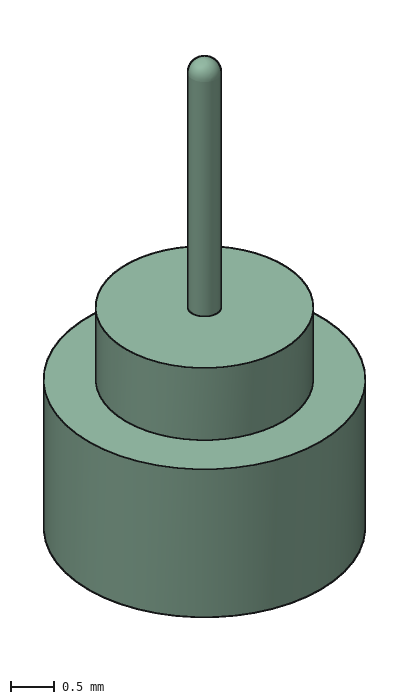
import cadquery as cq

total_height = 6.5
base_diameter = 3.7
base_height = 2.055
collar_diameter = 2.5
collar_height = 1.0
pin_diameter = 0.39

pin_radius = pin_diameter / 2
collar_top = base_height + collar_height
dome_start = total_height - pin_radius

base = cq.Workplane("XY").circle(base_diameter / 2).extrude(base_height)
collar = (
    cq.Workplane("XY")
    .workplane(offset=base_height)
    .circle(collar_diameter / 2)
    .extrude(collar_height)
)

pin = (
    cq.Workplane("XY")
    .workplane(offset=collar_top)
    .circle(pin_radius)
    .extrude(dome_start - collar_top)
)
tip = cq.Workplane("XY").sphere(pin_radius).translate((0, 0, dome_start))

result = base.union(collar).union(pin).union(tip)